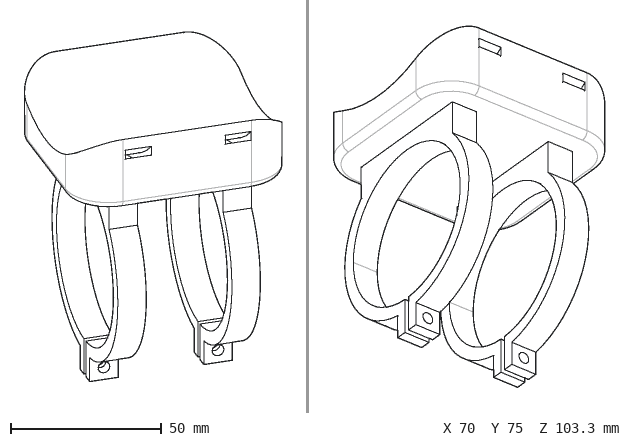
import cadquery as cq

TOTAL_HEIGHT = 103.3

SADDLE_LENGTH_X = 70.0
SADDLE_WIDTH_Y = 75.0
SADDLE_HEIGHT = 25.4
CORNER_RADIUS = 15.0
BOTTOM_FILLET = 2.5
TROUGH_RADIUS = 50.0

SLOT_DEPTH_BELOW_TROUGH = 3.0
SLOT_THICKNESS = 2.5
SLOT_WIDTH = 9.1
SLOT_SPACING = 35.0
SLOT_CENTER_Y = 0.4

RING_INNER_RADIUS = 29.3
RING_WALL = 4.8
RING_CENTER_Z = 42.5
CLAMP_WIDTH = 10.0
CLAMP_SPACING = 40.0
CLAMP_CENTER_Y = 1.0
BLOCK_LENGTH_X = 50.0
TAB_PAIR_WIDTH = 10.0
SPLIT_GAP = 2.0
SCREW_HOLE_DIAMETER = 4.0
SCREW_HOLE_Z = 4.5

SADDLE_BOTTOM_Z = TOTAL_HEIGHT - SADDLE_HEIGHT
TROUGH_CENTER_Z = TOTAL_HEIGHT + (TROUGH_RADIUS**2 - (SADDLE_LENGTH_X / 2) ** 2) ** 0.5
SLOT_INNER_RADIUS = TROUGH_RADIUS + SLOT_DEPTH_BELOW_TROUGH
SLOT_OUTER_RADIUS = SLOT_INNER_RADIUS + SLOT_THICKNESS
RING_OUTER_RADIUS = RING_INNER_RADIUS + RING_WALL


def pair_positions(center, spacing):
    """Two Y positions placed evenly about a center."""
    return [center - spacing / 2, center + spacing / 2]


def xz_plane(y, z):
    """Workplane facing -Y, with its origin on the YZ plane at the given place."""
    return cq.Workplane("XZ", origin=(0, y, z))


def make_slot(center_y):
    """Curved band, concentric with the trough, that cuts one strap slot."""
    return (
        xz_plane(center_y, TROUGH_CENTER_Z)
        .circle(SLOT_OUTER_RADIUS)
        .circle(SLOT_INNER_RADIUS)
        .extrude(SLOT_WIDTH / 2, both=True)
    )


def make_saddle():
    block = (
        cq.Workplane("XY", origin=(0, 0, SADDLE_BOTTOM_Z))
        .rect(SADDLE_LENGTH_X, SADDLE_WIDTH_Y)
        .extrude(SADDLE_HEIGHT)
        .edges("|Z")
        .fillet(CORNER_RADIUS)
        .faces("<Z")
        .edges()
        .fillet(BOTTOM_FILLET)
    )
    trough = xz_plane(0, TROUGH_CENTER_Z).circle(TROUGH_RADIUS).extrude(SADDLE_WIDTH_Y, both=True)
    saddle = block.cut(trough)
    for y in pair_positions(SLOT_CENTER_Y, SLOT_SPACING):
        saddle = saddle.cut(make_slot(y))
    return saddle


def make_clamp(center_y):
    half_width = CLAMP_WIDTH / 2
    ring = xz_plane(center_y, RING_CENTER_Z).circle(RING_OUTER_RADIUS).extrude(half_width, both=True)

    block_top = SADDLE_BOTTOM_Z - RING_CENTER_Z
    block_bottom = (RING_OUTER_RADIUS**2 - (BLOCK_LENGTH_X / 2) ** 2) ** 0.5
    block = (
        xz_plane(center_y, RING_CENTER_Z)
        .moveTo(0, (block_bottom + block_top) / 2)
        .rect(BLOCK_LENGTH_X, block_top - block_bottom)
        .extrude(half_width, both=True)
    )

    tabs = (
        xz_plane(center_y, RING_CENTER_Z / 2)
        .rect(TAB_PAIR_WIDTH, RING_CENTER_Z)
        .extrude(half_width, both=True)
    )

    bore = xz_plane(center_y, RING_CENTER_Z).circle(RING_INNER_RADIUS).extrude(half_width, both=True)
    split = (
        xz_plane(center_y, RING_CENTER_Z / 2)
        .rect(SPLIT_GAP, RING_CENTER_Z)
        .extrude(half_width, both=True)
    )

    screw_hole = (
        cq.Workplane("YZ", origin=(0, center_y, SCREW_HOLE_Z))
        .circle(SCREW_HOLE_DIAMETER / 2)
        .extrude(TAB_PAIR_WIDTH, both=True)
    )
    return ring.union(block).union(tabs).cut(bore).cut(split).cut(screw_hole)


saddle = make_saddle()
clamps = [make_clamp(y) for y in pair_positions(CLAMP_CENTER_Y, CLAMP_SPACING)]

result = cq.Compound.makeCompound([saddle.val(), *[clamp.val() for clamp in clamps]])